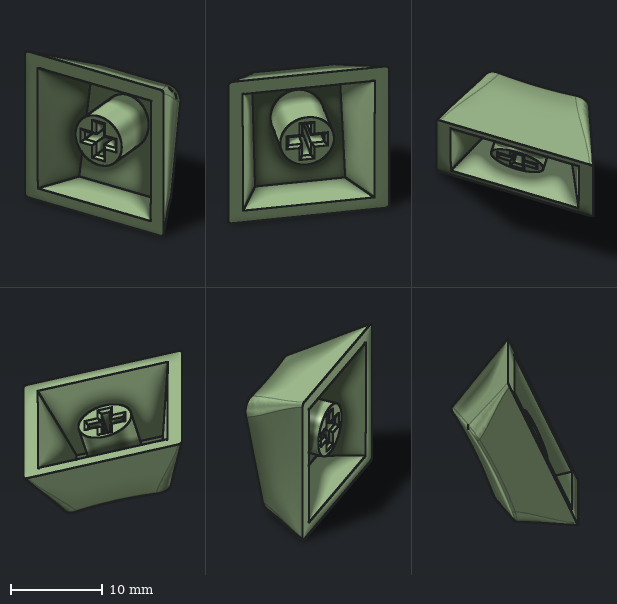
import cadquery as cq


base_size = 18.0
base_corner_radius = 0.42
top_corner_radius = 1.7
top_upper_z = 4.8
top_upper_y = 8.68
top_lower_z = -base_size / 2
top_lower_y = 5.95
top_upper_half_width = 5.92
top_lower_half_width = 6.05
section_count = 5
overshoot = 1.12

dish_radius = 45.0
dish_depth = 0.31
rim_fillet = 0.4

wall = 1.5
cavity_upper_z = 7.31
cavity_lower_z = -base_size / 2 + wall
cavity_upper_half_width = 7.38
cavity_lower_half_width = 7.32
floor_upper_z = 3.88
floor_upper_y = 7.1
floor_upper_half_width = 4.89
floor_lower_half_width = 5.03

stem_diameter = 6.0
stem_recess = 0.9
cross_length = 4.0
cross_width = 1.0
cross_chamfer = 0.33
chamfer_angle = 45.0

top_slope = (top_upper_y - top_lower_y) / (top_upper_z - top_lower_z)
floor_lower_y = floor_upper_y - top_slope * (floor_upper_z - cavity_lower_z)


def blend(start, end, fraction):
    """Straight-line mix of two values; a fraction above 1 carries on past the end."""
    return start + (end - start) * fraction


def quad_wire(upper_half_width, upper_y, upper_z, lower_half_width, lower_y, lower_z):
    """Four-sided outline, symmetric about X = 0, in a plane that contains the X direction."""
    corners = [
        cq.Vector(-lower_half_width, lower_y, lower_z),
        cq.Vector(lower_half_width, lower_y, lower_z),
        cq.Vector(upper_half_width, upper_y, upper_z),
        cq.Vector(-upper_half_width, upper_y, upper_z),
    ]
    return cq.Wire.makePolygon(corners, close=True)


def shell_section(fraction):
    """Rounded outline of the shell at a fraction of the way from the base to the top."""
    half = base_size / 2
    outline = quad_wire(
        blend(half, top_upper_half_width, fraction),
        blend(0, top_upper_y, fraction),
        blend(half, top_upper_z, fraction),
        blend(half, top_lower_half_width, fraction),
        blend(0, top_lower_y, fraction),
        blend(-half, top_lower_z, fraction),
    )
    rise = min(fraction, 1)
    ease = rise**2 * (3 - 2 * rise)
    return outline.fillet2D(blend(base_corner_radius, top_corner_radius, ease), outline.Vertices())


def make_shell():
    """Solid cap with a cylindrical dish along its tilted top and a rounded rim."""
    sections = [shell_section(overshoot * i / (section_count - 1)) for i in range(section_count)]
    body = cq.Workplane(obj=cq.Solid.makeLoft(sections))
    along_top = cq.Vector(0, top_slope, 1).normalized()
    away_from_top = cq.Vector(0, 1, -top_slope).normalized()
    top_middle = cq.Vector(0, (top_upper_y + top_lower_y) / 2, (top_upper_z + top_lower_z) / 2)
    axis_middle = top_middle + away_from_top * (dish_radius - dish_depth)
    axis_start = axis_middle - along_top * base_size
    dish = cq.Solid.makeCylinder(dish_radius, 2 * base_size, axis_start, along_top)
    dished = body.cut(cq.Workplane(obj=dish))
    return dished.faces("%CYLINDER").edges().fillet(rim_fillet)


def make_cavity():
    """Hollow with four sloping sides and a floor parallel to the top."""
    opening = quad_wire(
        cavity_upper_half_width, 0, cavity_upper_z, cavity_lower_half_width, 0, cavity_lower_z
    )
    floor = quad_wire(
        floor_upper_half_width, floor_upper_y, floor_upper_z,
        floor_lower_half_width, floor_lower_y, cavity_lower_z,
    )
    return cq.Workplane(obj=cq.Solid.makeLoft([opening, floor], True))


def make_stem():
    """Plain cylinder from the recessed stem end to beyond the cavity floor."""
    plane = cq.Workplane("XZ", origin=(0, stem_recess, 0))
    return plane.circle(stem_diameter / 2).extrude(-top_upper_y)


def tapered_bar(length, width):
    """One arm pair of the cross socket: a straight bar with a flared mouth."""
    plane = cq.Workplane("XZ", origin=(0, stem_recess, 0))
    bar = plane.rect(length, width).extrude(-top_upper_y)
    flare = 2 * cross_chamfer
    mouth = plane.rect(length + flare, width + flare).extrude(-cross_chamfer, taper=chamfer_angle)
    return bar.union(mouth)


def make_cross():
    """Cross-shaped socket that runs the full length of the stem."""
    return tapered_bar(cross_length, cross_width).union(tapered_bar(cross_width, cross_length))


cavity = make_cavity()
stem = make_stem().cut(make_cross()).intersect(cavity)
result = make_shell().cut(cavity).union(stem)